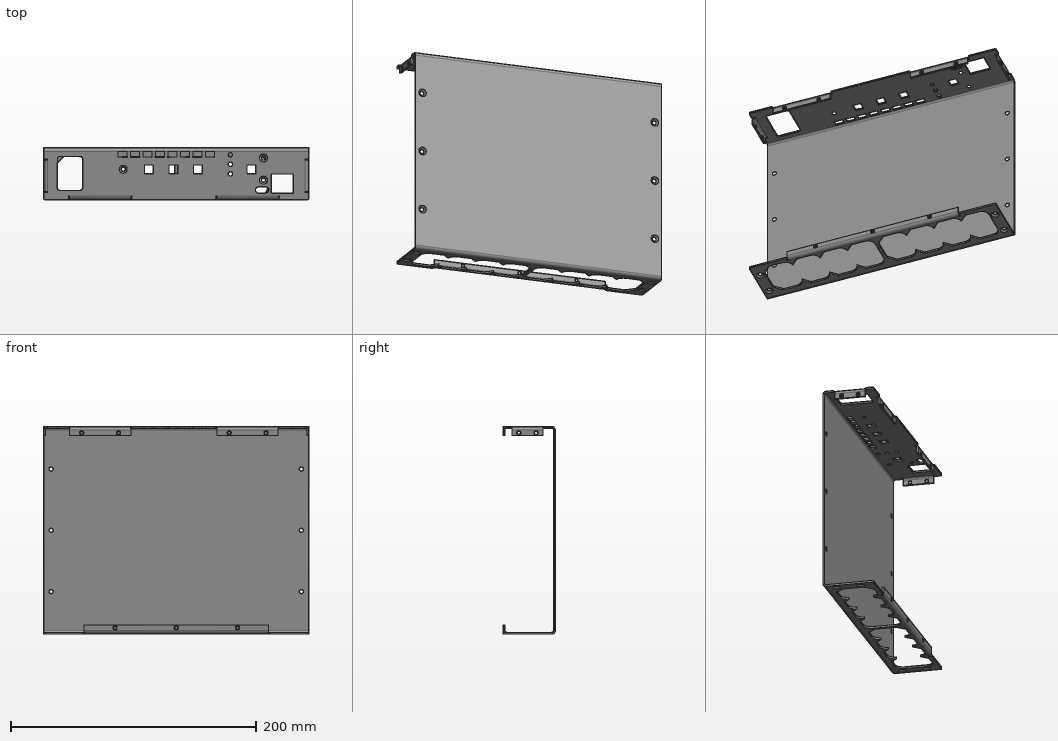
import cadquery as cq
import math

LENGTH = 216.2
DEPTH = 42.5
HEIGHT = 169.3
SHEET = 1.5
BEND_RADIUS = 3.0
INNER_RADIUS = BEND_RADIUS - SHEET
CORNER_RADIUS = 1.5

BACK_Y = DEPTH / 2
FRONT_Y = -DEPTH / 2
TOP_Z = HEIGHT / 2
BOTTOM_Z = -HEIGHT / 2

LIP_HEIGHT = 7.4
LIP_HOLE_DROP = 5.2
LIP_HOLE_DIAMETER = 2.5
LIP_HOLE_MOUTH_DIAMETER = 3.5
RELIEF_WIDTH = 0.9

TOP_LIP_LENGTH = 50.0
TOP_LIP_CENTRES = (-62.0, 58.2)
TOP_LIP_HOLE_PITCH = 30.0
END_LIP_LENGTH = 25.5
END_LIP_Y = -1.5
END_LIP_HOLE_PITCH = 14.0
BOTTOM_LIP_LENGTH = 150.0
BOTTOM_LIP_HOLE_PITCH = 50.0

SCREW_DIAMETER = 3.2
SCREW_HEAD_DIAMETER = 6.5
TOP_SCREW_CENTRES = ((-43.2, 3.7), (71.1, 13.0), (71.1, -5.2))
WALL_SCREW_X = 102.0
WALL_SCREW_PITCH = 50.0
BOTTOM_SCREW_X = 103.0
BOTTOM_SCREW_PITCH = 20.3
BOTTOM_SCREW_Y = 0.6

WINDOW_SIZE = (20.5, 27.7)
WINDOW_CENTRE = (-86.7, 0.5)
WINDOW_RADIUS = 2.0
PORT_SIZE = (17.7, 15.4)
PORT_CENTRE = (86.5, -8.0)
SLOT_LENGTH = 10.8
SLOT_WIDTH = 5.0
SLOT_CENTRE = (70.0, -13.2)
SQUARE_SIDE = 7.0
SQUARE_Y = 3.7
SQUARE_CENTRES_X = (-22.3, -2.4, 17.7, 61.2)
VENT_SIZE = (7.4, 4.5)
VENT_COUNT = 8
VENT_PITCH = 10.2
VENT_ROW_CENTRE = (-8.2, 15.8)
LIGHT_DIAMETER = 3.5
LIGHT_PITCH = 7.8
LIGHT_COLUMN_CENTRE = (44.0, 7.8)

SOCKET_WIDTH = 25.0
SOCKET_FRONT_Y = -17.7
SOCKET_BACK_Y = 14.0
SOCKET_CHAMFER = 6.7
SOCKET_RADIUS = 6.7
SOCKET_PITCH = 24.0
SOCKET_COUNT = 4
CENTRE_BAR_WIDTH = 2.5


def row(count, pitch, centre=0.0):
    """Evenly spaced positions about a centre."""
    return [centre + (i - (count - 1) / 2) * pitch for i in range(count)]


def channel():
    """C-shaped body: the back wall with the top and bottom plates."""
    outer = (
        cq.Workplane("XY").box(LENGTH, DEPTH, HEIGHT)
        .edges("|X and >Y").fillet(BEND_RADIUS)
    )
    inner = (
        cq.Workplane("XY").box(LENGTH, DEPTH, HEIGHT - 2 * SHEET)
        .edges("|X and >Y").fillet(INNER_RADIUS)
        .translate((0, -SHEET, 0))
    )
    return outer.cut(inner).edges("|Z and <Y").fillet(CORNER_RADIUS)


def lip(length, hole_positions):
    """Lip below a plate: outer faces at y = 0 and z = 0, plate toward +Y, centred on x = 0."""
    diagonal = math.sqrt(0.5)
    outer_mid = BEND_RADIUS * (1 - diagonal)
    inner_mid = BEND_RADIUS - INNER_RADIUS * diagonal
    body = (
        cq.Workplane("YZ")
        .moveTo(0, -LIP_HEIGHT)
        .lineTo(0, -BEND_RADIUS)
        .threePointArc((outer_mid, -outer_mid), (BEND_RADIUS, 0))
        .lineTo(BEND_RADIUS, -SHEET)
        .threePointArc((inner_mid, -inner_mid), (SHEET, -BEND_RADIUS))
        .lineTo(SHEET, -LIP_HEIGHT)
        .close()
        .extrude(length / 2, both=True)
    )
    holes = (
        cq.Workplane("XZ")
        .pushPoints([(x, -LIP_HOLE_DROP) for x in hole_positions])
        .circle(LIP_HOLE_DIAMETER / 2)
        .extrude(-SHEET)
    )
    mouth_radius = LIP_HOLE_MOUTH_DIAMETER / 2
    mouth_depth = (LIP_HOLE_MOUTH_DIAMETER - LIP_HOLE_DIAMETER) / 2
    for x in hole_positions:
        mouth = cq.Solid.makeCone(
            mouth_radius, LIP_HOLE_DIAMETER / 2, mouth_depth,
            cq.Vector(x, 0, -LIP_HOLE_DROP), cq.Vector(0, 1, 0),
        )
        holes = holes.union(cq.Workplane(mouth))
    return body.cut(holes)


def bend_clearance(length):
    """Strip of plate replaced by a lip and its two bend reliefs."""
    return cq.Workplane("XY").box(
        length + 2 * RELIEF_WIDTH, BEND_RADIUS, SHEET, centered=(True, False, False)
    ).translate((0, 0, -SHEET))


def add_lip(body, length, hole_positions, place):
    """Swap a strip of plate edge for a lip; place moves the lip to that edge."""
    return body.cut(place(bend_clearance(length))).union(place(lip(length, hole_positions)))


def add_lips(body):
    """Two lips along the top front edge, one at each end of the top, one along the bottom front."""
    for centre_x in TOP_LIP_CENTRES:
        body = add_lip(
            body, TOP_LIP_LENGTH, row(2, TOP_LIP_HOLE_PITCH),
            lambda shape: shape.translate((centre_x, FRONT_Y, TOP_Z)),
        )
    for side in (-1, 1):
        body = add_lip(
            body, END_LIP_LENGTH, row(2, END_LIP_HOLE_PITCH),
            lambda shape: shape.rotate((0, 0, 0), (0, 0, 1), side * 90)
            .translate((side * LENGTH / 2, END_LIP_Y, TOP_Z)),
        )
    return add_lip(
        body, BOTTOM_LIP_LENGTH, row(3, BOTTOM_LIP_HOLE_PITCH),
        lambda shape: shape.mirror("XY").translate((0, FRONT_Y, BOTTOM_Z)),
    )


def top_openings():
    """Cutters through the top plate."""
    plane = cq.Workplane("XY", origin=(0, 0, TOP_Z))
    window = (
        plane.center(*WINDOW_CENTRE).rect(*WINDOW_SIZE).extrude(-SHEET)
        .edges("|Z").fillet(WINDOW_RADIUS)
    )
    port = plane.center(*PORT_CENTRE).rect(*PORT_SIZE).extrude(-SHEET)
    slot = plane.center(*SLOT_CENTRE).slot2D(SLOT_LENGTH, SLOT_WIDTH).extrude(-SHEET)
    squares = (
        plane.pushPoints([(x, SQUARE_Y) for x in SQUARE_CENTRES_X])
        .rect(SQUARE_SIDE, SQUARE_SIDE).extrude(-SHEET)
    )
    vent_x, vent_y = VENT_ROW_CENTRE
    vents = (
        plane.pushPoints([(x, vent_y) for x in row(VENT_COUNT, VENT_PITCH, vent_x)])
        .rect(*VENT_SIZE).extrude(-SHEET)
    )
    light_x, light_y = LIGHT_COLUMN_CENTRE
    lights = (
        plane.pushPoints([(light_x, y) for y in row(3, LIGHT_PITCH, light_y)])
        .circle(LIGHT_DIAMETER / 2).extrude(-SHEET)
    )
    return [window, port, slot, squares, vents, lights]


def countersink(x, y, z, inward):
    """Conical screw seat that narrows through the whole sheet from its outer face."""
    cone = cq.Solid.makeCone(
        SCREW_HEAD_DIAMETER / 2, SCREW_DIAMETER / 2, SHEET,
        cq.Vector(x, y, z), cq.Vector(*inward),
    )
    return cq.Workplane(cone)


def countersinks():
    """Screw seats in the top plate and near both ends of the bottom plate and back wall."""
    seats = [countersink(x, y, TOP_Z, (0, 0, -1)) for x, y in TOP_SCREW_CENTRES]
    for side in (-1, 1):
        for y in row(2, BOTTOM_SCREW_PITCH, BOTTOM_SCREW_Y):
            seats.append(countersink(side * BOTTOM_SCREW_X, y, BOTTOM_Z, (0, 0, 1)))
        for z in row(3, WALL_SCREW_PITCH):
            seats.append(countersink(side * WALL_SCREW_X, BACK_Y, z, (0, -1, 0)))
    return seats


def socket_rows():
    """Two rows of sockets on either side of the centre bar."""
    row_length = SOCKET_WIDTH + (SOCKET_COUNT - 1) * SOCKET_PITCH
    socket = (
        cq.Workplane("XY")
        .box(SOCKET_WIDTH, SOCKET_BACK_Y - SOCKET_FRONT_Y, SHEET)
        .edges("|Z and <X").chamfer(SOCKET_CHAMFER)
        .edges("|Z and >X").fillet(SOCKET_RADIUS)
        .translate((0, (SOCKET_BACK_Y + SOCKET_FRONT_Y) / 2, BOTTOM_Z + SHEET / 2))
    )
    return [
        socket.translate((x, 0, 0))
        for row_centre in row(2, row_length + CENTRE_BAR_WIDTH)
        for x in row(SOCKET_COUNT, SOCKET_PITCH, row_centre)
    ]


result = add_lips(channel())
for cutter in top_openings() + countersinks() + socket_rows():
    result = result.cut(cutter)